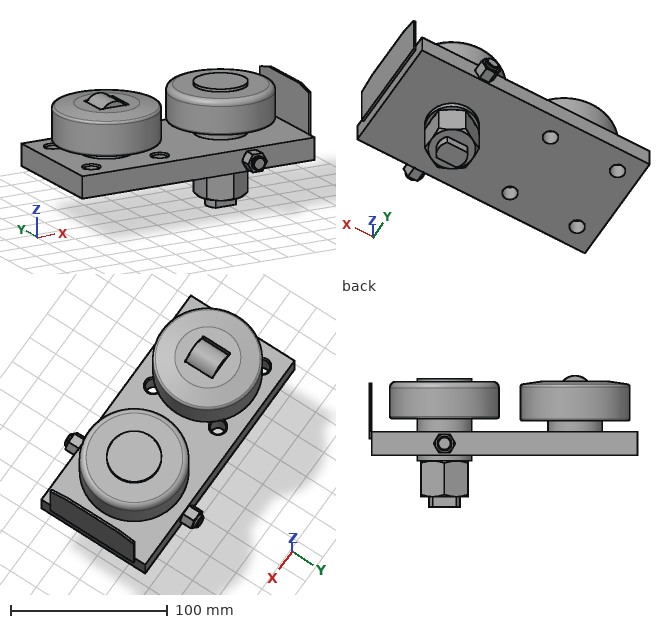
import cadquery as cq
import math

PLATE_LENGTH = 170.0
PLATE_WIDTH = 80.1
PLATE_THICKNESS = 15.1

WHEEL_DIAMETER = 70.0
PIN_DIAMETER = 35.0
FIXED_WHEEL_X = 40.0
WHEEL_SPACING = 83.5
ADJUSTABLE_WHEEL_X = FIXED_WHEEL_X + WHEEL_SPACING

FIXED_WHEEL_BOTTOM = 6.9
FIXED_WHEEL_TOP = 32.2
FIXED_WHEEL_FLAT_DIAMETER = 42.2
CONE_DROP = 2.0
FIXED_WHEEL_TOP_FILLET = 1.7
WHEEL_BOTTOM_FILLET = 1.5

ROLLER_DIAMETER = 21.0
ROLLER_LENGTH = ROLLER_DIAMETER
ROLLER_PROTRUSION = 3.6
ROLLER_TOP = FIXED_WHEEL_TOP + ROLLER_PROTRUSION

ADJUSTABLE_WHEEL_BOTTOM = 8.4
ADJUSTABLE_WHEEL_TOP = 32.0
ADJUSTABLE_WHEEL_TOP_FILLET = 4.1
SHAFT_TOP = 34.0
SHAFT_BELOW_PLATE = 3.6

SHAFT_HEX_ACROSS_FLATS = 30.2
SHAFT_HEX_HEIGHT = 22.8
TIP_DIAMETER = 20.0
TIP_ACROSS_FLATS = 13.5
OVERALL_HEIGHT = 84.0
TIP_BOTTOM = ROLLER_TOP - OVERALL_HEIGHT
HEX_CHAMFER_ANGLE = 30.0

SCREW_NUT_ACROSS_FLATS = 12.0
SCREW_NUT_HEIGHT = 8.5
SCREW_DIAMETER = 9.1
SCREW_PROTRUSION = 11.0
SCREW_CHAMFER = 0.7

HOLE_DIAMETER = 10.0
HOLE_CHAMFER = 1.0
COUNTERSINK_ANGLE = 90.0
HOLE_SPACING = 50.0

WIPER_THICKNESS = 1.5
WIPER_WIDTH = 64.3
WIPER_TOP = 30.9
WIPER_BOTTOM = -4.5
WIPER_CORNER_WIDTH = 12.3
WIPER_CORNER_HEIGHT = 3.1


def cylinder(diameter, x, bottom, top):
    """Upright cylinder on the plate's centre line."""
    return cq.Workplane("XY", origin=(x, 0, bottom)).circle(diameter / 2).extrude(top - bottom)


def hexagon(across_flats, height):
    """Hexagonal prism along Z from Z = 0, with corners on the X axis."""
    return cq.Workplane("XY").polygon(6, across_flats / math.cos(math.pi / 6)).extrude(height)


def chamfer_cone(across_flats, height, both_ends):
    """Turned body that bevels the corners of a hexagonal prism where they meet its end faces."""
    end_radius = across_flats / 2
    corner_radius = end_radius / math.cos(math.pi / 6)
    bevel = (corner_radius - end_radius) * math.tan(math.radians(HEX_CHAMFER_ANGLE))
    outline = cq.Workplane("XZ").moveTo(0, 0)
    if both_ends:
        outline = outline.lineTo(end_radius, 0).lineTo(corner_radius, bevel)
    else:
        outline = outline.lineTo(corner_radius, 0)
    outline = outline.lineTo(corner_radius, height - bevel).lineTo(end_radius, height).lineTo(0, height)
    return outline.close().revolve()


def make_plate():
    plate = (
        cq.Workplane("XY")
        .box(PLATE_LENGTH, PLATE_WIDTH, PLATE_THICKNESS, centered=(False, True, False))
        .translate((0, 0, -PLATE_THICKNESS))
    )
    return (
        plate.faces(">Z")
        .workplane(origin=(FIXED_WHEEL_X, 0, 0))
        .rect(HOLE_SPACING, HOLE_SPACING, forConstruction=True)
        .vertices()
        .cskHole(HOLE_DIAMETER, HOLE_DIAMETER + 2 * HOLE_CHAMFER, COUNTERSINK_ANGLE)
    )


def make_fixed_wheel():
    radius = WHEEL_DIAMETER / 2
    rim_height = FIXED_WHEEL_TOP - CONE_DROP
    wheel = (
        cq.Workplane("XZ")
        .moveTo(0, FIXED_WHEEL_BOTTOM)
        .lineTo(radius, FIXED_WHEEL_BOTTOM)
        .lineTo(radius, rim_height)
        .lineTo(FIXED_WHEEL_FLAT_DIAMETER / 2, FIXED_WHEEL_TOP)
        .lineTo(0, FIXED_WHEEL_TOP)
        .close()
        .revolve()
        .translate((FIXED_WHEEL_X, 0, 0))
    )
    rim = cq.selectors.NearestToPointSelector((FIXED_WHEEL_X, 0, rim_height))
    wheel = wheel.edges(rim).fillet(FIXED_WHEEL_TOP_FILLET)
    wheel = wheel.faces("<Z").edges().fillet(WHEEL_BOTTOM_FILLET)
    pin = cylinder(PIN_DIAMETER, FIXED_WHEEL_X, 0, FIXED_WHEEL_BOTTOM)
    pocket = (
        cq.Workplane("XY", origin=(FIXED_WHEEL_X, 0, FIXED_WHEEL_TOP))
        .rect(ROLLER_DIAMETER, ROLLER_LENGTH)
        .extrude(ROLLER_PROTRUSION - ROLLER_DIAMETER)
    )
    return wheel.union(pin).cut(pocket)


def make_adjustable_wheel():
    wheel = cylinder(WHEEL_DIAMETER, ADJUSTABLE_WHEEL_X, ADJUSTABLE_WHEEL_BOTTOM, ADJUSTABLE_WHEEL_TOP)
    wheel = wheel.faces(">Z").edges().fillet(ADJUSTABLE_WHEEL_TOP_FILLET)
    wheel = wheel.faces("<Z").edges().fillet(WHEEL_BOTTOM_FILLET)
    shaft_bottom = -PLATE_THICKNESS - SHAFT_BELOW_PLATE
    shaft = cylinder(PIN_DIAMETER, ADJUSTABLE_WHEEL_X, shaft_bottom, SHAFT_TOP)
    hex_bottom = shaft_bottom - SHAFT_HEX_HEIGHT
    shaft_hex = (
        hexagon(SHAFT_HEX_ACROSS_FLATS, SHAFT_HEX_HEIGHT)
        .intersect(chamfer_cone(SHAFT_HEX_ACROSS_FLATS, SHAFT_HEX_HEIGHT, both_ends=True))
        .rotate((0, 0, 0), (0, 0, 1), 90)
        .translate((ADJUSTABLE_WHEEL_X, 0, hex_bottom))
    )
    tip_flats = (
        cq.Workplane("XY", origin=(ADJUSTABLE_WHEEL_X, 0, TIP_BOTTOM))
        .rect(TIP_DIAMETER, TIP_ACROSS_FLATS)
        .extrude(hex_bottom - TIP_BOTTOM)
    )
    tip = cylinder(TIP_DIAMETER, ADJUSTABLE_WHEEL_X, TIP_BOTTOM, hex_bottom).intersect(tip_flats)
    return wheel.union(shaft).union(shaft_hex).union(tip)


def make_clamping_screw(side):
    """Screw end and nut on one long side of the plate: side is 1 for +Y and -1 for -Y."""
    nut = hexagon(SCREW_NUT_ACROSS_FLATS, SCREW_NUT_HEIGHT).intersect(
        chamfer_cone(SCREW_NUT_ACROSS_FLATS, SCREW_NUT_HEIGHT, both_ends=False)
    )
    nut_start = PLATE_WIDTH / 2 if side > 0 else -PLATE_WIDTH / 2 - SCREW_NUT_HEIGHT
    nut = nut.rotate((0, 0, 0), (1, 0, 0), -90).translate((0, nut_start, 0))
    screw = cq.Workplane("XY").circle(SCREW_DIAMETER / 2).extrude(SCREW_PROTRUSION)
    screw = screw.faces(">Z").edges().chamfer(SCREW_CHAMFER)
    screw = screw.rotate((0, 0, 0), (1, 0, 0), -90 * side).translate((0, side * PLATE_WIDTH / 2, 0))
    return nut.union(screw).translate((ADJUSTABLE_WHEEL_X, 0, -PLATE_THICKNESS / 2))


def make_wiper():
    half_width = WIPER_WIDTH / 2
    return (
        cq.Workplane("YZ", origin=(PLATE_LENGTH, 0, 0))
        .moveTo(-half_width, WIPER_BOTTOM)
        .lineTo(half_width, WIPER_BOTTOM)
        .lineTo(half_width, WIPER_TOP - WIPER_CORNER_HEIGHT)
        .lineTo(half_width - WIPER_CORNER_WIDTH, WIPER_TOP)
        .lineTo(WIPER_CORNER_WIDTH - half_width, WIPER_TOP)
        .lineTo(-half_width, WIPER_TOP - WIPER_CORNER_HEIGHT)
        .close()
        .extrude(WIPER_THICKNESS)
    )


def make_carrier():
    """Plate with both wheels, the clamping screws and the wiper, as one solid."""
    carrier = make_plate().union(make_fixed_wheel()).union(make_adjustable_wheel())
    for side in (1, -1):
        carrier = carrier.union(make_clamping_screw(side))
    return carrier.union(make_wiper())


def make_axial_roller():
    """Cylinder along Y that fills the length and width of the pocket in the fixed wheel."""
    roller_axis_height = ROLLER_TOP - ROLLER_DIAMETER / 2
    return (
        cq.Workplane("XZ", origin=(FIXED_WHEEL_X, ROLLER_LENGTH / 2, roller_axis_height))
        .circle(ROLLER_DIAMETER / 2)
        .extrude(ROLLER_LENGTH)
    )


carrier = make_carrier()
axial_roller = make_axial_roller()

result = cq.Compound.makeCompound([carrier.val(), axial_roller.val()])